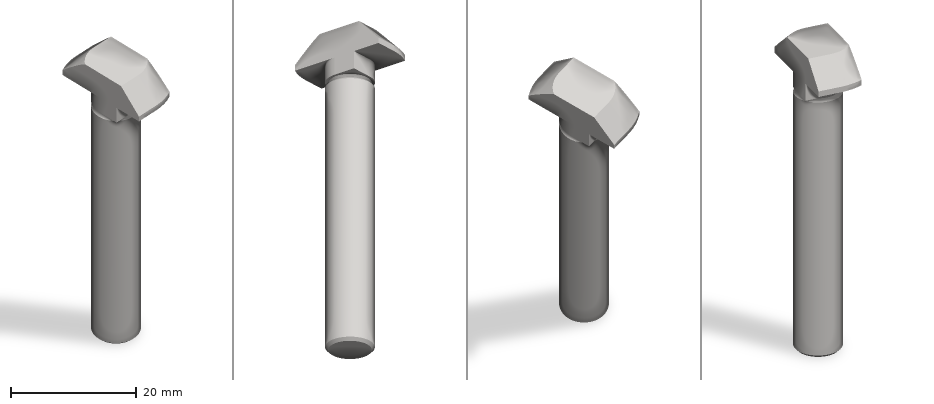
import cadquery as cq

total_height = 55.0
shank_diameter = 8.0
groove_diameter = 7.0
head_length = 18.0
head_top_length = 10.0
head_height = 5.0
head_edge_height = 1.0
neck_height = 3.0
groove_height = 0.5
end_chamfer = 0.505

shank_radius = shank_diameter / 2
groove_radius = groove_diameter / 2
head_radius = head_length / 2
head_top_radius = head_top_length / 2
groove_taper_height = shank_radius - groove_radius
head_base_z = total_height - head_height
head_edge_z = head_base_z + head_edge_height
neck_base_z = head_base_z - neck_height
groove_base_z = neck_base_z - groove_height
shank_top_z = groove_base_z - groove_taper_height


def make_shank():
    """Round shank with an end chamfer and a tapered groove under the neck."""
    return (
        cq.Workplane("XZ")
        .lineTo(shank_radius - end_chamfer, 0)
        .lineTo(shank_radius, end_chamfer)
        .lineTo(shank_radius, shank_top_z)
        .lineTo(groove_radius, groove_base_z)
        .lineTo(groove_radius, neck_base_z)
        .lineTo(0, neck_base_z)
        .close()
        .revolve(360, (0, 0, 0), (0, 1, 0))
    )


def half_head_outline():
    """Neck and sloped head on the +X side of the axis, in the XZ plane."""
    return (
        cq.Workplane("XZ")
        .moveTo(0, neck_base_z)
        .lineTo(shank_radius, neck_base_z)
        .lineTo(shank_radius, head_base_z)
        .lineTo(head_radius, head_base_z)
        .lineTo(head_radius, head_edge_z)
        .lineTo(head_top_radius, total_height)
        .lineTo(0, total_height)
        .close()
    )


def make_head():
    """T-head with two straight quarters and two opposite rounded quarters."""
    head = half_head_outline().revolve(360, (0, 0, 0), (0, 1, 0))

    straight_quarter = half_head_outline().extrude(shank_radius)
    for angle in (0, 180):
        head = head.union(straight_quarter.rotate((0, 0, 0), (0, 0, 1), angle))

    side_limits = cq.Workplane("XY").box(
        head_length, shank_diameter, total_height, centered=(True, True, False)
    )
    return head.intersect(side_limits)


result = make_shank().union(make_head())